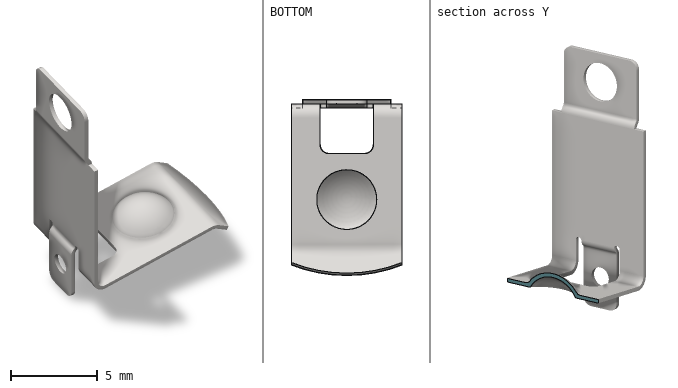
import cadquery as cq
import math

thickness = 0.25
flange_bend_radius = 0.47
panel_width = 6.4
panel_bottom = 2.67
panel_top = 11.56
total_height = 15.6

flange_angle = 6.2
flange_length = 7.36
lip_bend_radius = 0.56
lip_angle = 33.5
lip_length = 1.53
lip_sagitta = 0.73

dome_y = 5.75
dome_base_radius = 1.87
dome_height = 1.01
dome_base_fillet = 0.23

jog_height = 0.55
tab_corner_radius = 0.5
upper_tab_width = 5.1
upper_hole_diameter = 2.34
upper_hole_z = 13.85
lower_tab_width = 2.31
lower_tab_top = 4.02
lower_hole_diameter = 1.2
lower_hole_z = 1.9

window_width = 3.05
window_depth = 3.1
window_corner_radius = 0.5
slot_top = 4.17

tab_mid_y = thickness / 2
panel_mid_y = tab_mid_y + thickness


def move(point, heading, distance):
    """Shift a (y, z) point along a heading in degrees, measured from +Y toward +Z."""
    angle = math.radians(heading)
    return (point[0] + distance * math.cos(angle), point[1] + distance * math.sin(angle))


def straight(start, heading, length, width):
    """Flat strip along the heading; returns the strip and its end point."""
    end = move(start, heading, length)
    corners = [
        move(point, heading + 90, side * thickness / 2)
        for point, side in ((start, 1), (end, 1), (end, -1), (start, -1))
    ]
    strip = cq.Workplane("YZ").polyline(corners).close().extrude(width / 2, both=True)
    return strip, end


def bend(start, heading, turn, radius, width):
    """Bent strip with the given mid-sheet radius; a positive turn is toward +90 degrees."""
    side = math.copysign(1, turn)
    centre = move(start, heading + 90 * side, radius)

    def arc_point(arc_radius, part):
        return move(centre, heading - 90 * side + turn * part, arc_radius)

    inner = radius - thickness / 2
    outer = radius + thickness / 2
    strip = (
        cq.Workplane("YZ")
        .moveTo(*arc_point(outer, 0))
        .threePointArc(arc_point(outer, 0.5), arc_point(outer, 1))
        .lineTo(*arc_point(inner, 1))
        .threePointArc(arc_point(inner, 0.5), arc_point(inner, 0))
        .close()
        .extrude(width / 2, both=True)
    )
    return strip, arc_point(radius, 1)


def lip(start):
    """Sloping end of the flange, with a convex free edge."""
    angle = math.radians(lip_angle)
    half_width = panel_width / 2
    side_length = lip_length - lip_sagitta
    plane = cq.Plane(
        origin=(0, *start),
        xDir=(1, 0, 0),
        normal=(0, math.sin(angle), math.cos(angle)),
    )
    return (
        cq.Workplane(plane)
        .moveTo(-half_width, 0)
        .lineTo(half_width, 0)
        .lineTo(half_width, side_length)
        .threePointArc((0, lip_length), (-half_width, side_length))
        .close()
        .extrude(thickness / 2, both=True)
    )


def add_dome(body, flange_start):
    """Raise a hollow spherical cap of sheet thickness on the upper face of the flange."""
    angle = math.radians(flange_angle)
    normal = (0, -math.sin(angle), math.cos(angle))
    along = (dome_y - flange_start[0]) / math.cos(angle)
    mid_point = move(flange_start, flange_angle, along)
    base = move(mid_point, flange_angle + 90, thickness / 2)
    plane = cq.Plane(origin=(0, *base), xDir=(1, 0, 0), normal=normal)

    sphere_radius = (dome_base_radius**2 + dome_height**2) / (2 * dome_height)
    centre_depth = sphere_radius - dome_height
    outer = cq.Workplane(plane).workplane(offset=-centre_depth).sphere(sphere_radius)
    inner = cq.Workplane(plane).workplane(offset=-centre_depth).sphere(sphere_radius - thickness)
    above_flange_mid = (
        cq.Workplane(plane)
        .workplane(offset=-thickness / 2)
        .circle(2 * sphere_radius)
        .extrude(2 * sphere_radius)
    )
    above_flange_bottom = (
        cq.Workplane(plane)
        .workplane(offset=-thickness)
        .circle(2 * sphere_radius)
        .extrude(2 * sphere_radius)
    )
    body = body.union(outer.intersect(above_flange_mid))
    body = body.edges("%CIRCLE").fillet(dome_base_fillet)
    return body.cut(inner.intersect(above_flange_bottom))


def cut_window(body):
    """Open the bend below the lower tab and extend it upward with two round-ended slots."""
    window = (
        cq.Workplane("XY")
        .rect(window_width, 2 * window_depth)
        .extrude(lower_tab_top)
        .edges("|Z and >Y")
        .fillet(window_corner_radius)
    )
    slot_width = (window_width - lower_tab_width) / 2
    slot_x = (window_width - slot_width) / 2
    slots = (
        cq.Workplane("XZ")
        .pushPoints([(-slot_x, slot_top / 2), (slot_x, slot_top / 2)])
        .slot2D(slot_top, slot_width, 90)
        .extrude(-window_depth / 2)
    )
    return body.cut(window).cut(slots)


def tab(jog_z, tip_z, width, hole_z, hole_diameter):
    """Tab joined to the panel at jog_z by an S-shaped jog, with rounded corners and a hole."""
    direction = math.copysign(1, tip_z - jog_z)
    heading = 90 * direction
    half_turn = 2 * math.degrees(math.atan(thickness / jog_height))
    turn = half_turn * direction
    jog_radius = jog_height / (2 * math.sin(math.radians(half_turn)))
    first, middle = bend((panel_mid_y, jog_z), heading, turn, jog_radius, width)
    second, end = bend(middle, heading + turn, -turn, jog_radius, width)
    plate, _ = straight(end, heading, abs(tip_z - end[1]), width)
    tip_edges = "|Y and >Z" if direction > 0 else "|Y and <Z"
    plate = plate.edges(tip_edges).fillet(tab_corner_radius)
    hole = (
        cq.Workplane("XZ")
        .center(0, hole_z)
        .circle(hole_diameter / 2)
        .extrude(-thickness)
    )
    return first.union(second).union(plate.cut(hole))


panel, bend_start = straight((panel_mid_y, panel_top), -90, panel_top - panel_bottom, panel_width)
flange_turn = 90 + flange_angle
flange_mid_radius = flange_bend_radius + thickness / 2
flange_bend, flange_start = bend(bend_start, -90, flange_turn, flange_mid_radius, panel_width)
flange, flange_end = straight(flange_start, flange_angle, flange_length, panel_width)
lip_turn = -(flange_angle + lip_angle)
lip_mid_radius = lip_bend_radius + thickness / 2
lip_bend, lip_start = bend(flange_end, flange_angle, lip_turn, lip_mid_radius, panel_width)

flange = add_dome(flange, flange_start)
body = panel.union(flange_bend).union(flange).union(lip_bend).union(lip(lip_start))
body = cut_window(body)

upper_tab = tab(panel_top, total_height, upper_tab_width, upper_hole_z, upper_hole_diameter)
lower_tab = tab(lower_tab_top, 0, lower_tab_width, lower_hole_z, lower_hole_diameter)
result = body.union(upper_tab).union(lower_tab)